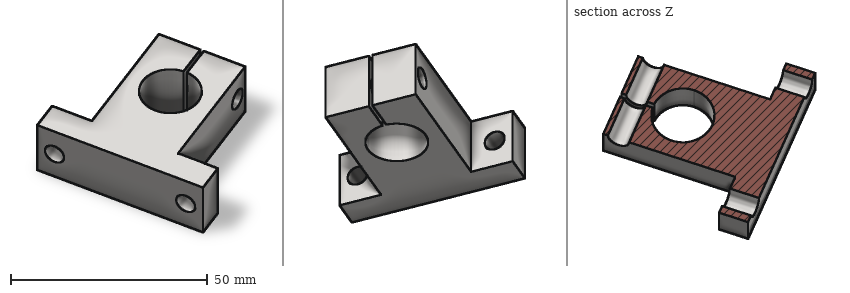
import cadquery as cq

base_length = 48.0
base_thickness = 8.0
part_depth = 44.0
part_height = 16.0

block_width = 25.0
bore_diameter = 16.0
bore_center_y = 27.0
slit_width = 1.0

mount_hole_diameter = 5.5
mount_hole_spacing = 38.0
clamp_hole_diameter = 5.7
clamp_hole_inset = 4.2

mid_height = part_height / 2
clamp_hole_y = part_depth - clamp_hole_inset


def make_body():
    """T-shaped body: a wide mounting foot with the clamping block behind it."""
    foot = cq.Workplane("XY").box(base_length, base_thickness, part_height, centered=(True, False, False))
    block = cq.Workplane("XY").box(block_width, part_depth, part_height, centered=(True, False, False))
    return foot.union(block)


def make_shaft_bore():
    """Vertical bore that holds the shaft."""
    return cq.Workplane("XY").center(0, bore_center_y).circle(bore_diameter / 2).extrude(part_height)


def make_slit():
    """Clamping slit from the bore axis out through the end of the block."""
    slit_length = part_depth - bore_center_y
    slit = cq.Workplane("XY").box(slit_width, slit_length, part_height, centered=(True, False, False))
    return slit.translate((0, bore_center_y, 0))


def make_mount_holes():
    """Pair of mounting holes through the foot along Y."""
    holes = cq.Workplane("XZ").pushPoints(
        [(side * mount_hole_spacing / 2, mid_height) for side in (-1, 1)]
    )
    return holes.circle(mount_hole_diameter / 2).extrude(-base_thickness)


def make_clamp_hole():
    """Clamp screw hole through the block along X, crossing the slit."""
    hole = cq.Workplane("YZ").center(clamp_hole_y, mid_height).circle(clamp_hole_diameter / 2)
    return hole.extrude(block_width / 2, both=True)


result = (
    make_body()
    .cut(make_shaft_bore())
    .cut(make_slit())
    .cut(make_mount_holes())
    .cut(make_clamp_hole())
)